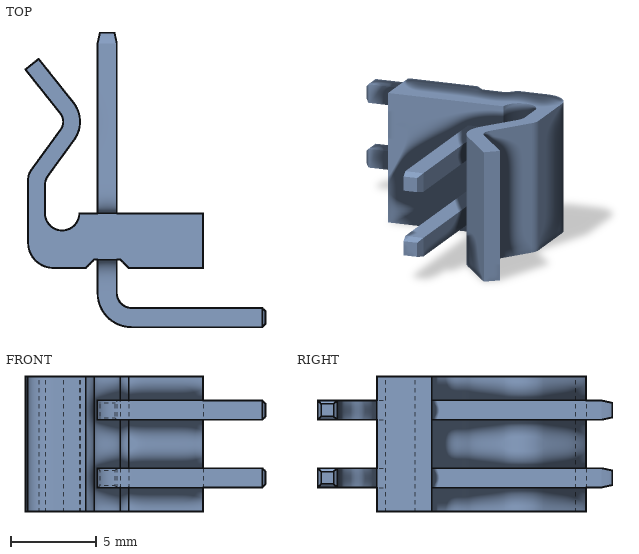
import cadquery as cq
import math


height = 7.93
body_length = 10.28
body_thickness = 3.21
latch_thickness = 1.0
slot_radius = latch_thickness
corner_radius = 1.5 * latch_thickness
bend_radius = latch_thickness
elbow_inner_radius = 0.8
elbow_outer_radius = elbow_inner_radius + latch_thickness

bend_y = 5.5
elbow_x, elbow_y = 2.26, 8.6
tip_x, tip_y = -0.15, 11.64

groove_floor_width = 1.52
groove_depth = 0.5

pin_width = 1.14
pin_pitch = height / 2
pin_x = 4.65
pin_top_y = 13.8
pin_bottom_y = pin_top_y - 17.27
pin_end_x = 13.94
pin_outer_radius = 2 * latch_thickness
pin_inner_radius = pin_outer_radius - pin_width
pin_tip_length = 0.62
pin_tip_inset = 0.14
pin_end_chamfer = 0.2


def make_latch():
    """Bent strip of constant thickness, springing from the left wall."""
    lower_angle = math.atan2(elbow_y - bend_y, elbow_x)
    upper_angle = math.atan2(tip_y - elbow_y, tip_x - elbow_x)

    def inner_corner(x, y, angle_before, angle_after):
        """Mitred point on the right-hand side of a corner of the strip."""
        middle = (angle_before + angle_after) / 2
        reach = latch_thickness / math.cos((angle_after - angle_before) / 2)
        return x + reach * math.sin(middle), y - reach * math.cos(middle)

    bend = inner_corner(0, bend_y, math.pi / 2, lower_angle)
    elbow = inner_corner(elbow_x, elbow_y, lower_angle, upper_angle)
    tip = inner_corner(tip_x, tip_y, upper_angle, upper_angle)
    outline = [
        (0, body_thickness),
        (0, bend_y),
        (elbow_x, elbow_y),
        (tip_x, tip_y),
        tip,
        elbow,
        bend,
        (latch_thickness, body_thickness),
    ]
    latch = cq.Workplane("XY").polyline(outline).close().extrude(height / 2, both=True)

    rounds = [
        ((0, bend_y), bend_radius),
        (bend, bend_radius),
        ((elbow_x, elbow_y), elbow_inner_radius),
        (elbow, elbow_outer_radius),
    ]
    for (x, y), radius in rounds:
        corner = cq.selectors.NearestToPointSelector((x, y, 0))
        latch = latch.edges("|Z").edges(corner).fillet(radius)
    return latch


def make_housing():
    """Block with a rounded corner, a round slot beside the latch and a rear groove."""
    block = (
        cq.Workplane("XY")
        .box(body_length, body_thickness, height, centered=(False, False, True))
        .edges("|Z and <X and <Y")
        .fillet(corner_radius)
    )
    slot = (
        cq.Workplane("XY")
        .center(latch_thickness + slot_radius, body_thickness)
        .circle(slot_radius)
        .extrude(height / 2, both=True)
    )
    half_floor = groove_floor_width / 2
    half_mouth = half_floor + groove_depth
    groove = (
        cq.Workplane("XY")
        .polyline([
            (pin_x - half_mouth, 0),
            (pin_x - half_floor, groove_depth),
            (pin_x + half_floor, groove_depth),
            (pin_x + half_mouth, 0),
        ])
        .close()
        .extrude(height / 2, both=True)
    )
    return block.cut(slot).cut(groove)


def make_pin(z):
    """Square right-angle pin with a tapered mating tip and a chamfered tail."""
    half = pin_width / 2
    left, right = pin_x - half, pin_x + half
    tail_top_y = pin_bottom_y + pin_width
    shoulder_y = pin_top_y - pin_tip_length
    pin = (
        cq.Workplane("XY")
        .polyline([
            (left, shoulder_y),
            (left, pin_bottom_y),
            (pin_end_x, pin_bottom_y),
            (pin_end_x, tail_top_y),
            (right, tail_top_y),
            (right, shoulder_y),
        ])
        .close()
        .extrude(half, both=True)
    )
    pin = pin.edges("|Z and <X and <Y").fillet(pin_outer_radius)
    inside = cq.selectors.NearestToPointSelector((right, tail_top_y, 0))
    pin = pin.edges("|Z").edges(inside).fillet(pin_inner_radius)
    pin = pin.faces(">X").chamfer(pin_end_chamfer)

    tip_width = pin_width - 2 * pin_tip_inset
    tip = (
        cq.Workplane("XZ", origin=(pin_x, shoulder_y, 0))
        .rect(pin_width, pin_width)
        .workplane(offset=-pin_tip_length)
        .rect(tip_width, tip_width)
        .loft(combine=True)
    )
    return pin.union(tip).translate((0, 0, z))


result = make_housing().union(make_latch())
for pin_z in (-pin_pitch / 2, pin_pitch / 2):
    result = result.union(make_pin(pin_z))